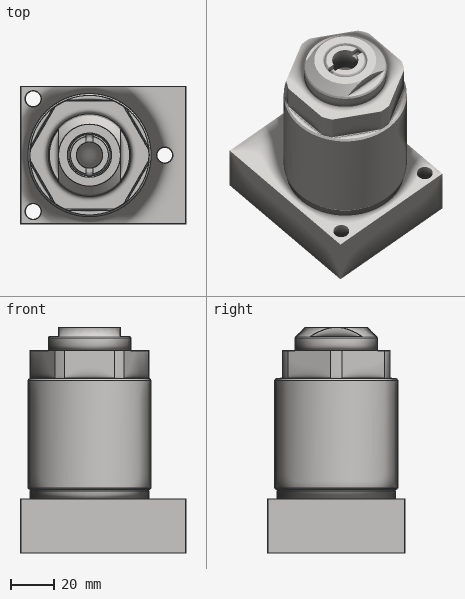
import cadquery as cq
import math

base_width = 76.2
base_depth = 63.5
base_height = 25.0
base_left = -base_depth / 2
base_right = base_left + base_width

mount_hole_diameter = 7.3
corner_hole_inset = 5.7
side_hole_inset = 9.7

collar_radius = 27.4
collar_top = 28.7
neck_radius = 27.2
body_radius = 28.4
body_chamfer = 0.8
body_bottom = 29.3
body_top = 80.5

nut_top = 93.5
nut_half_flats = 24.9
nut_foot_step = 0.6
nut_foot_height = 0.2
nut_corner_radius = collar_radius

top = 104.2
head_radius = 19.1
head_edge_bottom = 99.2
head_edge_top = 100.0
head_edge_inset = 0.5
head_top_radius = 14.3
head_flat_half_width = head_top_radius

groove_outer_radius = 10.2
groove_root_radius = 9.6
groove_inner_radius = 8.8
groove_depth = 0.8
bore_radius = 6.0
bore_depth = 12.5
slot_width = 3.3
slot_depth = 3.1


def make_base():
    block = (
        cq.Workplane("XY")
        .box(base_width, base_depth, base_height, centered=(False, True, False))
        .translate((base_left, 0, 0))
    )
    corner_x = base_left + corner_hole_inset
    corner_y = base_depth / 2 - corner_hole_inset
    hole_centres = [
        (corner_x, corner_y),
        (corner_x, -corner_y),
        (base_right - side_hole_inset, 0),
    ]
    holes = (
        cq.Workplane("XY")
        .pushPoints(hole_centres)
        .circle(mount_hole_diameter / 2)
        .extrude(base_height)
    )
    return block.cut(holes)


def cylinder(radius, bottom, upper):
    return cq.Workplane("XY").workplane(offset=bottom).circle(radius).extrude(upper - bottom)


def make_body():
    collar = cylinder(collar_radius, base_height, collar_top)
    neck = cylinder(neck_radius, collar_top, body_bottom)
    body = cylinder(body_radius, body_bottom, body_top)
    return collar.union(neck).union(body.edges("%CIRCLE").chamfer(body_chamfer))


def hexagon(half_flats, height):
    corner_diameter = 2 * half_flats / math.cos(math.pi / 6)
    return (
        cq.Workplane("XY")
        .workplane(offset=body_top)
        .polygon(6, corner_diameter)
        .extrude(height)
    )


def make_nut():
    nut = hexagon(nut_half_flats, nut_top - body_top)
    foot = hexagon(nut_half_flats + nut_foot_step, nut_foot_height)
    envelope = cylinder(nut_corner_radius, body_top, nut_top)
    return nut.union(foot).intersect(envelope)


def make_head():
    head = (
        cq.Workplane("XZ")
        .moveTo(0, nut_top)
        .lineTo(head_radius, nut_top)
        .lineTo(head_radius, head_edge_bottom)
        .lineTo(head_radius - head_edge_inset, head_edge_top)
        .lineTo(head_top_radius, top)
        .lineTo(0, top)
        .close()
        .revolve(360, (0, 0), (0, 1))
    )
    ledge = cylinder(head_radius, nut_top, head_edge_top)
    between_flats = cq.Workplane("XY").box(
        2 * head_flat_half_width, 2 * head_radius, top, centered=(True, True, False)
    )
    return head.intersect(ledge.union(between_flats))


def make_socket():
    groove = (
        cq.Workplane("XZ")
        .moveTo(groove_outer_radius, top)
        .lineTo(groove_root_radius, top - groove_depth)
        .lineTo(groove_inner_radius, top)
        .close()
        .revolve(360, (0, 0), (0, 1))
    )
    bore = cylinder(bore_radius, top - bore_depth, top)
    slots = (
        cq.Workplane("XY")
        .workplane(offset=top - slot_depth)
        .rect(slot_width, 2 * groove_root_radius)
        .extrude(slot_depth)
        .intersect(cylinder(groove_root_radius, top - slot_depth, top))
    )
    return groove.union(bore).union(slots)


result = (
    make_base()
    .union(make_body())
    .union(make_nut())
    .union(make_head())
    .cut(make_socket())
)